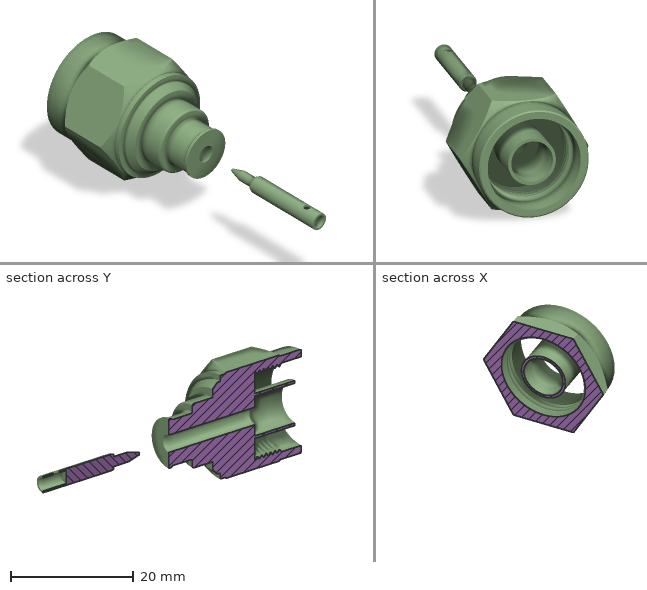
import cadquery as cq
import math

FACE_BEVEL = 0.2
SHELL_RADIUS = 9.3
HEX_START = 4.5
HEX_END = 15.9
HEX_ACROSS_FLATS = 19.0
HEX_BEVEL_RADIUS = 9.35
HEX_CORNER_RADIUS = HEX_ACROSS_FLATS / math.sqrt(3)
SHELL_END = 17.0

COLLAR_RADIUS = 8.25
COLLAR_BEVEL_START = 17.6
COLLAR_END = 18.65
COLLAR_END_RADIUS = 7.25
BARREL_RADIUS = 5.8
BARREL_END = 22.85
BARREL_EDGE_FILLET = 0.4
NECK_ROOT_FILLET = 0.3
NECK_RADIUS = 4.15
LIP_START = 26.95
LIP_FULL = 27.3
LIP_RADIUS = 4.45
CONNECTOR_END = 27.8

SOCKET_RADIUS = 7.9
THREAD_START = 4.15
THREAD_MINOR_RADIUS = 7.25
THREAD_PITCH = 0.9
THREAD_COUNT = 6
SOCKET_DEPTH = THREAD_START + THREAD_COUNT * THREAD_PITCH
SLEEVE_START = 1.3
SLEEVE_RADIUS = 4.05
SLEEVE_BORE_RADIUS = 3.5

PIN_END = 54.15
PIN_LENGTH = 20.25
PIN_RADIUS = 1.5
PIN_BEVEL_RADIUS = 1.3
PIN_BEVEL_LENGTH = 0.45
TIP_RADIUS = 0.25
TIP_LENGTH = 2.35
SHANK_RADIUS = 0.9
SHANK_LENGTH = 3.0
CUP_RADIUS = 1.15
CUP_DEPTH = 4.9
VENT_RADIUS = 0.6
VENT_INSET = 2.85


def revolve_about_x(outline):
    """Turn a closed (x, radius) outline around the X axis."""
    return cq.Workplane("XY").polyline(outline).close().revolve(360, (0, 0, 0), (1, 0, 0))


def cylinder_x(start, end, radius):
    return cq.Workplane("YZ").workplane(offset=start).circle(radius).extrude(end - start)


def make_turned_outside():
    outline = (
        cq.Workplane("XY")
        .lineTo(0, SHELL_RADIUS - FACE_BEVEL)
        .lineTo(FACE_BEVEL, SHELL_RADIUS)
        .lineTo(SHELL_END, SHELL_RADIUS)
        .lineTo(SHELL_END, COLLAR_RADIUS)
        .lineTo(COLLAR_BEVEL_START, COLLAR_RADIUS)
        .lineTo(COLLAR_END, COLLAR_END_RADIUS)
        .lineTo(COLLAR_END, BARREL_RADIUS)
        .lineTo(BARREL_END - BARREL_EDGE_FILLET, BARREL_RADIUS)
        .tangentArcPoint((BARREL_EDGE_FILLET, -BARREL_EDGE_FILLET))
        .lineTo(BARREL_END, NECK_RADIUS + NECK_ROOT_FILLET)
        .tangentArcPoint((NECK_ROOT_FILLET, -NECK_ROOT_FILLET))
        .lineTo(LIP_START, NECK_RADIUS)
        .lineTo(LIP_FULL, LIP_RADIUS)
        .lineTo(CONNECTOR_END, LIP_RADIUS)
        .lineTo(CONNECTOR_END, 0)
        .close()
    )
    return outline.revolve(360, (0, 0, 0), (1, 0, 0))


def make_hex():
    """Hexagonal grip with corners on +Y and -Y, bevelled at both ends."""
    prism = (
        cq.Workplane("YZ").workplane(offset=HEX_START)
        .polygon(6, 2 * HEX_CORNER_RADIUS)
        .extrude(HEX_END - HEX_START)
    )
    bevel_length = HEX_CORNER_RADIUS - HEX_BEVEL_RADIUS
    bevel_envelope = revolve_about_x([
        (HEX_START, 0),
        (HEX_START, HEX_BEVEL_RADIUS),
        (HEX_START + bevel_length, HEX_CORNER_RADIUS),
        (HEX_END - bevel_length, HEX_CORNER_RADIUS),
        (HEX_END, HEX_BEVEL_RADIUS),
        (HEX_END, 0),
    ])
    return prism.intersect(bevel_envelope)


def make_socket_cavity():
    """Open socket with V-shaped thread grooves and a central sleeve left standing."""
    outline = [(0, 0), (0, SOCKET_RADIUS), (THREAD_START, SOCKET_RADIUS)]
    for turn in range(THREAD_COUNT):
        groove_start = THREAD_START + turn * THREAD_PITCH
        outline.append((groove_start + THREAD_PITCH / 2, THREAD_MINOR_RADIUS))
        outline.append((groove_start + THREAD_PITCH, SOCKET_RADIUS))
    outline.append((SOCKET_DEPTH, 0))
    sleeve = cylinder_x(SLEEVE_START, SOCKET_DEPTH, SLEEVE_RADIUS).cut(
        cylinder_x(SLEEVE_START, SOCKET_DEPTH, SLEEVE_BORE_RADIUS)
    )
    return revolve_about_x(outline).cut(sleeve)


def make_connector():
    contact_bore = cylinder_x(0, CONNECTOR_END, PIN_RADIUS)
    return make_turned_outside().union(make_hex()).cut(make_socket_cavity()).cut(contact_bore)


def make_pin():
    tip_start = PIN_END - PIN_LENGTH
    shank_start = tip_start + TIP_LENGTH
    body_start = shank_start + SHANK_LENGTH
    body = revolve_about_x([
        (tip_start, 0),
        (tip_start, TIP_RADIUS),
        (shank_start, SHANK_RADIUS),
        (body_start, SHANK_RADIUS),
        (body_start, PIN_BEVEL_RADIUS),
        (body_start + PIN_BEVEL_LENGTH, PIN_RADIUS),
        (PIN_END, PIN_RADIUS),
        (PIN_END, 0),
    ])
    solder_cup = cylinder_x(PIN_END - CUP_DEPTH, PIN_END, CUP_RADIUS)
    vent = cq.Workplane("XY").center(PIN_END - VENT_INSET, 0).circle(VENT_RADIUS).extrude(PIN_RADIUS)
    return body.cut(solder_cup).cut(vent)


connector = make_connector()
pin = make_pin()

result = cq.Compound.makeCompound([connector.val(), pin.val()])